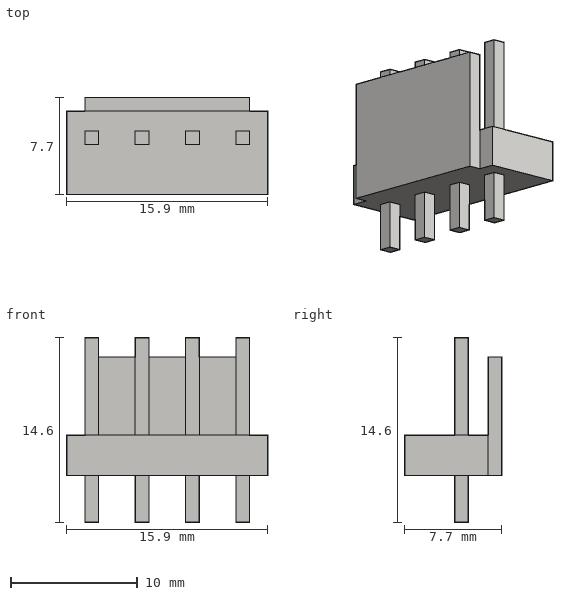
import cadquery as cq

base_length = 15.9
base_depth = 6.6
base_height = 3.2

pin_count = 4
pin_pitch = 3.98
pin_size = 1.1
pin_height = 14.6
pin_tail = 3.7
pin_setback = 2.1

wall_thickness = 1.1
wall_height = 9.37
wall_length = (pin_count - 1) * pin_pitch + pin_size


def standing_box(length, depth, height, bottom=0):
    """Box centred on X, with its front face on Y = 0."""
    return (
        cq.Workplane("XY", origin=(0, 0, bottom))
        .box(length, depth, height, centered=(True, False, False))
    )


base = standing_box(base_length, base_depth, base_height)
wall = standing_box(wall_length, wall_thickness, wall_height).translate((0, base_depth, 0))
result = base.union(wall)

pin = standing_box(pin_size, pin_size, pin_height, bottom=-pin_tail)
pin_front = base_depth - pin_setback - pin_size / 2
for index in range(pin_count):
    pin_x = (index - (pin_count - 1) / 2) * pin_pitch
    result = result.union(pin.translate((pin_x, pin_front, 0)))